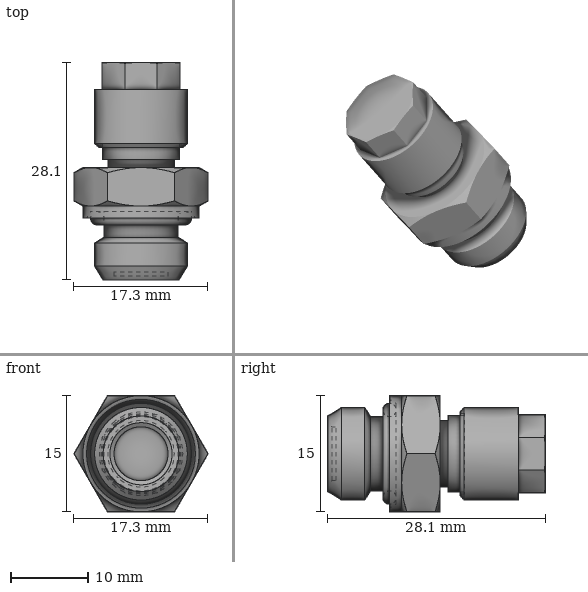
import cadquery as cq
import math


nose_end_y = 1.8
thread_end_y = 4.78
front_neck_y = 5.5
flange_front_y = 7.98
hex_front_y = 9.55
hex_back_y = 14.53
rear_neck_end_y = 15.55
cap_front_y = 17.08
cap_back_y = 24.62
total_length = 28.1

thread_radius = 5.99
nose_radius = 4.9
front_neck_radius = 4.8
rear_neck_radius = 4.3
collar_radius = 4.97
cap_chamfer_length = 0.53
cap_chamfer_depth = 0.6
cap_recess_radius = 5.17
cap_recess_depth = 0.55
hex_flats = 15.0
flange_radius = hex_flats / 2
octagon_flats = 10.12
octagon_crown_length = 0.1
corner_bevel_angle = 30.0

bore_radius = 3.48
bore_mouth_radius = 4.02
bore_mouth_depth = 0.53
bore_depth = 1.07

ring_section_diameter = 1.71
ring_section_radius = ring_section_diameter / 2
ring_center_radius = front_neck_radius + ring_section_radius
recess_mouth_radius = 7.02
recess_floor_radius = ring_center_radius + ring_section_radius
recess_depth = ring_section_radius


def turned(profile):
    """Solid of revolution about Y from (radius, y) points."""
    return cq.Workplane("XY").polyline(profile).close().revolve(360, (0, 0, 0), (0, 1, 0))


def prism(sides, flats, start_y, end_y):
    """Regular prism along Y with two flats facing +Z and -Z."""
    half_step = math.pi / sides
    corner_radius = flats / 2 / math.cos(half_step)
    corners = []
    for index in range(sides):
        angle = math.pi / 2 + half_step * (2 * index + 1)
        corners.append((corner_radius * math.cos(angle), corner_radius * math.sin(angle)))
    plane = cq.Plane(origin=(0, start_y, 0), xDir=(1, 0, 0), normal=(0, 1, 0))
    return cq.Workplane(plane).polyline(corners).close().extrude(end_y - start_y)


def make_turned_core():
    """All the round steps from the nose to the back of the cap."""
    return turned([
        (0, 0),
        (nose_radius, 0),
        (thread_radius, nose_end_y),
        (thread_radius, thread_end_y),
        (front_neck_radius, front_neck_y),
        (front_neck_radius, flange_front_y),
        (flange_radius, flange_front_y),
        (flange_radius, hex_back_y),
        (rear_neck_radius, hex_back_y),
        (rear_neck_radius, rear_neck_end_y),
        (collar_radius, rear_neck_end_y),
        (collar_radius, cap_front_y + cap_recess_depth),
        (cap_recess_radius, cap_front_y + cap_recess_depth),
        (cap_recess_radius, cap_front_y),
        (thread_radius - cap_chamfer_depth, cap_front_y),
        (thread_radius, cap_front_y + cap_chamfer_length),
        (thread_radius, cap_back_y),
        (0, cap_back_y),
    ])


def make_hexagon():
    """Wrench hexagon with both ends bevelled down to the inscribed circle."""
    corner_radius = hex_flats / 2 / math.cos(math.pi / 6)
    bevel = (corner_radius - flange_radius) * math.tan(math.radians(corner_bevel_angle))
    envelope = turned([
        (0, hex_front_y),
        (flange_radius, hex_front_y),
        (corner_radius, hex_front_y + bevel),
        (corner_radius, hex_back_y - bevel),
        (flange_radius, hex_back_y),
        (0, hex_back_y),
    ])
    return prism(6, hex_flats, hex_front_y, hex_back_y).intersect(envelope)


def make_octagon():
    """Octagonal rear end with slightly bevelled corners."""
    flat_radius = octagon_flats / 2
    corner_radius = flat_radius / math.cos(math.pi / 8)
    envelope = turned([
        (0, cap_back_y),
        (corner_radius, cap_back_y),
        (corner_radius, total_length - octagon_crown_length),
        (flat_radius, total_length),
        (0, total_length),
    ])
    return prism(8, octagon_flats, cap_back_y, total_length).intersect(envelope)


def make_bore():
    """Blind bore with a conical mouth."""
    return turned([
        (0, 0),
        (bore_mouth_radius, 0),
        (bore_radius, bore_mouth_depth),
        (bore_radius, bore_depth),
        (0, bore_depth),
    ])


def make_ring_recess():
    """Tapered annular recess in the front face of the flange."""
    recess_floor_y = flange_front_y + recess_depth
    return turned([
        (front_neck_radius, flange_front_y),
        (recess_mouth_radius, flange_front_y),
        (recess_floor_radius, recess_floor_y),
        (front_neck_radius, recess_floor_y),
    ])


def make_fitting():
    blank = make_turned_core().union(make_hexagon()).union(make_octagon())
    return blank.cut(make_bore()).cut(make_ring_recess())


def make_seal_ring():
    section = cq.Workplane("XY").center(ring_center_radius, flange_front_y).circle(ring_section_radius)
    return section.revolve(360, (-ring_center_radius, 0, 0), (-ring_center_radius, 1, 0))


fitting = make_fitting()
seal_ring = make_seal_ring()

result = cq.Compound.makeCompound([fitting.solids().val(), seal_ring.val()])